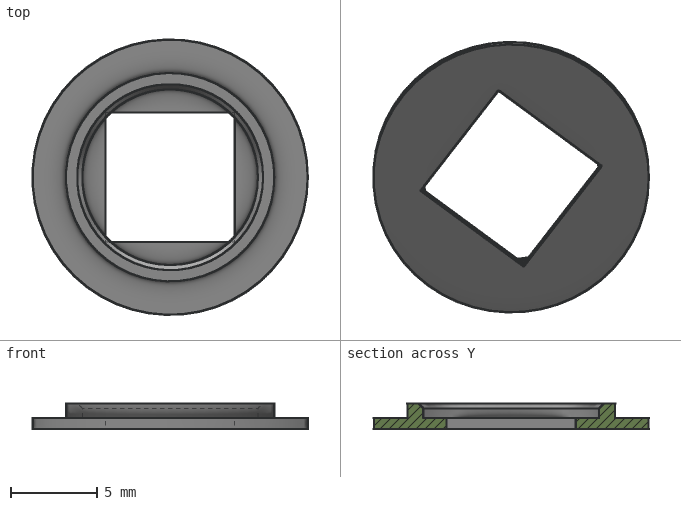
import cadquery as cq

flange_diameter = 16.0
flange_thickness = 0.65
ring_diameter = 12.1
total_height = 1.5

recess_diameter = 10.2
recess_chamfer = 0.3
floor_thickness = flange_thickness

square_side = 7.5


def make_body():
    """Round flange with a concentric raised ring on top."""
    flange = cq.Workplane("XY").circle(flange_diameter / 2).extrude(flange_thickness)
    ring = cq.Workplane("XY").circle(ring_diameter / 2).extrude(total_height)
    return flange.union(ring)


def make_recess():
    """Cylinder from the floor to the top of the ring, flaring at 45 degrees at its mouth."""
    radius = recess_diameter / 2
    half_profile = (
        cq.Workplane("XZ")
        .moveTo(0, floor_thickness)
        .lineTo(radius, floor_thickness)
        .lineTo(radius, total_height - recess_chamfer)
        .lineTo(radius + recess_chamfer, total_height)
        .lineTo(0, total_height)
        .close()
    )
    return half_profile.revolve(360, (0, 0, 0), (0, 1, 0))


def make_square_opening():
    """Square hole through the floor; its corners reach slightly under the ring wall."""
    return cq.Workplane("XY").rect(square_side, square_side).extrude(floor_thickness)


result = make_body().cut(make_recess()).cut(make_square_opening())